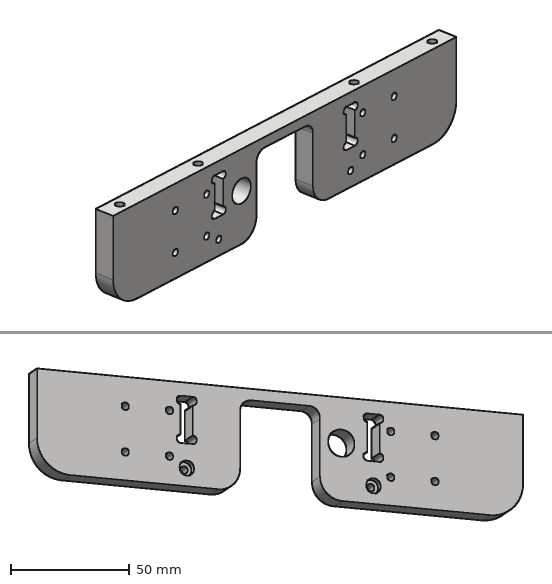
import cadquery as cq

thickness = 10.0
length = 220.0
height = 45.3
outer_corner_radius = 15.0

notch_width = 36.0
bridge_height = 5.0
notch_top_radius = 5.0
notch_foot_radius = 10.0

pattern_center_y = 60.0
pattern_center_depth = 22.9
pattern_pitch = 20.0
pattern_hole_diameter = 3.3

slot_y = 42.2
slot_center_depth = 16.3
slot_width = 5.5
slot_height = 20.7
slot_end_width = 9.0
slot_end_height = 3.7

bore_depth_from_top = 37.5
bore_diameter = 3.3
counterbore_diameter = 6.5
counterbore_depth = 3.3

large_hole_y = -27.7
large_hole_depth_from_top = 20.0
large_hole_diameter = 11.9

edge_hole_positions = (50.0, 100.0)
edge_hole_diameter = 4.2
edge_hole_depth = 10.0

SIDES = (-1, 1)


def face_plane(y, depth_from_top):
    """Work plane on the -X face, local x along +Y, extruding through the plate along +X."""
    origin = (-thickness / 2, y, height - depth_from_top)
    return cq.Workplane(cq.Plane(origin=origin, xDir=(0, 1, 0), normal=(1, 0, 0)))


def cylinder_cut(y, depth_from_top, diameter, depth=thickness):
    return face_plane(y, depth_from_top).circle(diameter / 2).extrude(depth)


def make_plate():
    plate = cq.Workplane("XY").box(thickness, length, height, centered=(True, True, False))
    plate = plate.edges("|X and <Z").fillet(outer_corner_radius)
    notch_height = height - bridge_height
    notch = cq.Workplane("XY").box(thickness, notch_width, notch_height, centered=(True, True, False))
    notch = notch.edges("|X and >Z").fillet(notch_top_radius)
    plate = plate.cut(notch)
    selection_margin = 0.2
    foot_edges = cq.selectors.BoxSelector(
        (-thickness, -notch_width / 2 - selection_margin, -selection_margin),
        (thickness, notch_width / 2 + selection_margin, selection_margin),
    )
    return plate.edges("|X").edges(foot_edges).fillet(notch_foot_radius)


def slot_cut(y):
    cut = face_plane(y, slot_center_depth).rect(slot_width, slot_height).extrude(thickness)
    end_offset = (slot_height - slot_end_height) / 2
    for side in SIDES:
        end_depth = slot_center_depth + side * end_offset
        cut = cut.union(face_plane(y, end_depth).slot2D(slot_end_width, slot_end_height).extrude(thickness))
    return cut


def cut_hole_pattern(plate, center_y):
    holes = (
        face_plane(center_y, pattern_center_depth)
        .rarray(pattern_pitch, pattern_pitch, 2, 2)
        .circle(pattern_hole_diameter / 2)
        .extrude(thickness)
    )
    return plate.cut(holes)


def cut_counterbored_hole(plate, y):
    plate = plate.cut(cylinder_cut(y, bore_depth_from_top, bore_diameter))
    return plate.cut(cylinder_cut(y, bore_depth_from_top, counterbore_diameter, counterbore_depth))


def cut_edge_holes(plate):
    points = [(0, side * y) for side in SIDES for y in edge_hole_positions]
    holes = (
        cq.Workplane("XY", origin=(0, 0, height))
        .pushPoints(points)
        .circle(edge_hole_diameter / 2)
        .extrude(-edge_hole_depth)
    )
    return plate.cut(holes)


result = make_plate()
for side in SIDES:
    result = cut_hole_pattern(result, side * pattern_center_y)
    result = result.cut(slot_cut(side * slot_y))
    result = cut_counterbored_hole(result, side * slot_y)
result = result.cut(cylinder_cut(large_hole_y, large_hole_depth_from_top, large_hole_diameter))
result = cut_edge_holes(result)